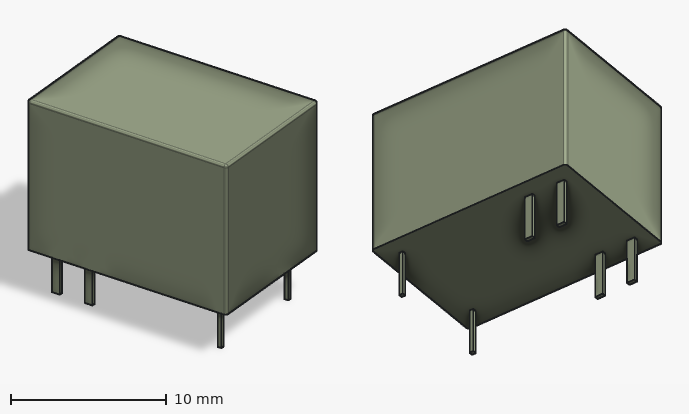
import cadquery as cq

body_length = 15.5
body_width = 10.5
body_height = 11.0
edge_radius = 0.2

pin_length = 3.4
pin_thickness = 0.28
wide_pin = 0.6
narrow_pin = 0.3
row_spacing = 7.63
pin_pitch = 2.54
first_pin_x = -6.37
last_pin_x = first_pin_x + 5 * pin_pitch

pin_columns = [
    (first_pin_x, wide_pin),
    (first_pin_x + pin_pitch, wide_pin),
    (last_pin_x, narrow_pin),
]


def make_housing():
    box = cq.Workplane("XY").box(body_length, body_width, body_height, centered=(True, True, False))
    return box.edges("|Z or >Z").fillet(edge_radius)


def make_pin_pair(x, pin_width):
    """Two matching pins, one in the front row and one in the back row."""
    return (
        cq.Workplane("XY")
        .pushPoints([(x, -row_spacing / 2), (x, row_spacing / 2)])
        .rect(pin_width, pin_thickness)
        .extrude(-pin_length)
    )


result = make_housing()
for column_x, column_width in pin_columns:
    result = result.union(make_pin_pair(column_x, column_width))